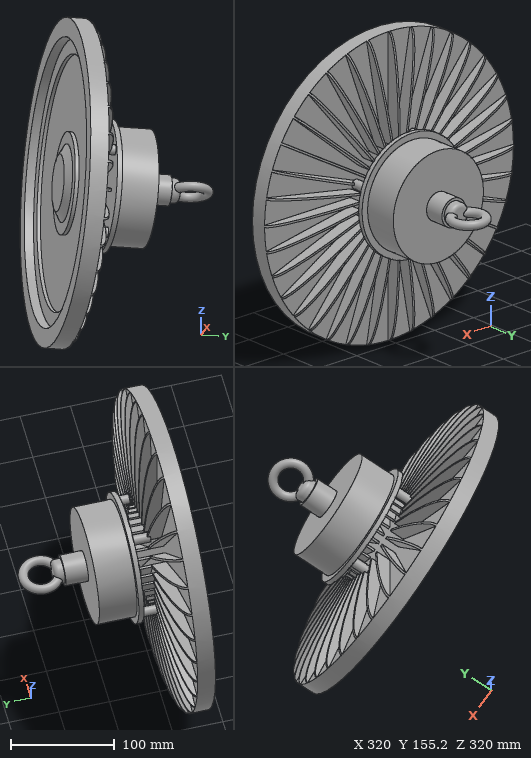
import cadquery as cq


rim_diameter = 320.0
rim_height = 18.0
bore_diameter = 282.0
plate_thickness = 4.0
fin_count = 36
fin_thickness = 2.2
fin_inner_diameter = 100.0
fin_height = 15.0
post_count = 4
post_diameter = 10.0
post_circle_radius = 56.5
post_angle = 20.0
post_depth_in_fins = 3.2

lens_diameter = 280.3
lens_front = 9.0
lens_recess_diameter = 250.0
lens_recess_depth = 3.5

sensor_base_diameter = 100.0
sensor_base_height = 4.0
sensor_cone_diameter = 76.0
sensor_face_diameter = 56.0
sensor_cone_height = 6.0

flange_bottom = 47.0
flange_diameter = 130.0
flange_thickness = 5.0
drum_diameter = 116.0
drum_top = 89.5

overall_height = 155.2
stem_diameter = 30.5
stem_top = 112.0
collar_diameter = 24.5
collar_height = 9.5
collar_round = 4.8
ring_outer_diameter = 44.0
ring_wire_diameter = 10.0

fin_top = rim_height + fin_height
lens_back = rim_height - plate_thickness
recess_floor = lens_front + lens_recess_depth


def disc(diameter, start, end):
    """Round disc on the lamp axis between two Y positions."""
    plane = cq.Workplane("XZ", origin=(0, start, 0))
    return plane.circle(diameter / 2).extrude(start - end)


def make_fin():
    """One radial fin along +X; its back edge is a quarter ellipse falling to the rim edge."""
    inner = fin_inner_diameter / 2
    outer = rim_diameter / 2
    blade = (
        cq.Workplane("XY")
        .moveTo(inner, rim_height)
        .lineTo(outer, rim_height)
        .ellipseArc(outer - inner, fin_height, 0, 90, startAtCurrent=True)
        .close()
        .extrude(fin_thickness / 2, both=True)
    )
    return blade.intersect(disc(rim_diameter, rim_height, fin_top))


def make_heat_sink():
    rim = disc(rim_diameter, 0, rim_height)
    bore = disc(bore_diameter, 0, lens_back)
    sink = rim.cut(bore)
    fin = make_fin()
    for index in range(fin_count):
        angle = index * 360 / fin_count
        sink = sink.union(fin.rotate((0, 0, 0), (0, 1, 0), angle))
    post = disc(post_diameter, fin_top - post_depth_in_fins, flange_bottom)
    post = post.translate((post_circle_radius, 0, 0))
    for index in range(post_count):
        angle = -post_angle + index * 360 / post_count
        sink = sink.union(post.rotate((0, 0, 0), (0, 1, 0), angle))
    return sink


def make_lens():
    recess = disc(lens_recess_diameter, lens_front, recess_floor)
    return disc(lens_diameter, lens_front, lens_back).cut(recess)


def make_sensor():
    base_front = recess_floor - sensor_base_height
    base = disc(sensor_base_diameter, base_front, recess_floor)
    cone = (
        cq.Workplane("XZ", origin=(0, base_front, 0))
        .circle(sensor_cone_diameter / 2)
        .workplane(offset=sensor_cone_height)
        .circle(sensor_face_diameter / 2)
        .loft()
    )
    return base.union(cone)


def make_driver_housing():
    flange_top = flange_bottom + flange_thickness
    flange = disc(flange_diameter, flange_bottom, flange_top)
    return flange.union(disc(drum_diameter, flange_top, drum_top))


def make_eye_bolt():
    stem = disc(stem_diameter, drum_top, stem_top)
    collar = disc(collar_diameter, stem_top, stem_top + collar_height).faces(">Y").edges().fillet(collar_round)
    ring_center = overall_height - ring_outer_diameter / 2
    ring_radius = (ring_outer_diameter - ring_wire_diameter) / 2
    ring = cq.Workplane(
        cq.Solid.makeTorus(
            ring_radius, ring_wire_diameter / 2, cq.Vector(0, ring_center, 0), cq.Vector(0, 0, 1)
        )
    )
    return stem.union(collar).union(ring)


heat_sink = make_heat_sink()
lens = make_lens()
sensor = make_sensor()
driver_housing = make_driver_housing()
eye_bolt = make_eye_bolt()

result = cq.Compound.makeCompound(
    [heat_sink.val(), lens.val(), sensor.val(), driver_housing.val(), eye_bolt.val()]
)